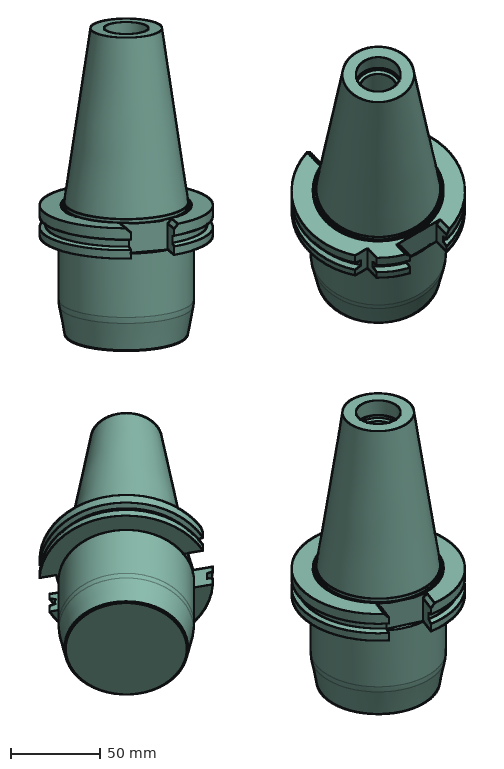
import cadquery as cq
import math

TOTAL_LENGTH = 178.6
TAPER_RATIO = 7 / 24
TAPER_LARGE_RADIUS = 34.92
TAPER_BASE_Z = 77.2
taper_small_radius = TAPER_LARGE_RADIUS - (TOTAL_LENGTH - TAPER_BASE_Z) * TAPER_RATIO / 2

NECK_RADIUS = 69.3 / 2
RELIEF_OUTER_RADIUS = 36.8
RELIEF_DEPTH = 0.9
RELIEF_CHAMFER = TAPER_LARGE_RADIUS - NECK_RADIUS

FLANGE_RADIUS = 97.3 / 2
FLANGE_BOTTOM_Z = 57.9
FLANGE_TOP_Z = 75.5
GROOVE_CENTER_Z = 65.9
GROOVE_DEPTH = 3.2
GROOVE_FLOOR_WIDTH = 4.0
GROOVE_MOUTH_WIDTH = 6.3
groove_floor_radius = FLANGE_RADIUS - GROOVE_DEPTH
groove_half_floor = GROOVE_FLOOR_WIDTH / 2
groove_half_mouth = GROOVE_MOUTH_WIDTH / 2

NOSE_RADIUS = 76.0 / 2
NOSE_BLEND_TOP_Z = 20.7
NOSE_BLEND_HEIGHT = 3.5
NOSE_TAPER_ANGLE = math.radians(10.5)
END_CHAMFER = 0.7

SLOT_WIDTH = 25.5
SLOT_CHAMFER = 2.5
LEFT_SLOT_WALL_X = -37.5
RIGHT_SLOT_WALL_X = 35.2
NOTCH_OFFSET = 29.8

BORE_RADIUS = 25.0 / 2
BORE_DEPTH = 11.8
UNDERCUT_RADIUS = 25.5 / 2
UNDERCUT_HEIGHT = 2.0
DRILL_RADIUS = 21.0 / 2
BORE_SEAT_HEIGHT = 0.7
DRILL_DEPTH = 44.6
DRILL_POINT_HALF_ANGLE = math.radians(59)


def revolve_about_z(profile):
    return profile.close().revolve(360, (0, 0, 0), (0, 1, 0))


def holder_body():
    """Revolve the outside outline, from the nose end up to the small end of the taper."""
    blend_radius = NOSE_BLEND_HEIGHT / math.sin(NOSE_TAPER_ANGLE)
    blend_end_z = NOSE_BLEND_TOP_Z - NOSE_BLEND_HEIGHT
    blend_end_radius = NOSE_RADIUS - blend_radius * (1 - math.cos(NOSE_TAPER_ANGLE))
    blend_mid = (
        NOSE_RADIUS - blend_radius * (1 - math.cos(NOSE_TAPER_ANGLE / 2)),
        NOSE_BLEND_TOP_Z - blend_radius * math.sin(NOSE_TAPER_ANGLE / 2),
    )
    end_radius = blend_end_radius - (blend_end_z - END_CHAMFER) * math.tan(NOSE_TAPER_ANGLE)
    profile = (
        cq.Workplane("XZ")
        .lineTo(end_radius - END_CHAMFER, 0)
        .lineTo(end_radius, END_CHAMFER)
        .lineTo(blend_end_radius, blend_end_z)
        .threePointArc(blend_mid, (NOSE_RADIUS, NOSE_BLEND_TOP_Z))
        .lineTo(NOSE_RADIUS, FLANGE_BOTTOM_Z)
        .lineTo(FLANGE_RADIUS, FLANGE_BOTTOM_Z)
        .lineTo(FLANGE_RADIUS, GROOVE_CENTER_Z - groove_half_mouth)
        .lineTo(groove_floor_radius, GROOVE_CENTER_Z - groove_half_floor)
        .lineTo(groove_floor_radius, GROOVE_CENTER_Z + groove_half_floor)
        .lineTo(FLANGE_RADIUS, GROOVE_CENTER_Z + groove_half_mouth)
        .lineTo(FLANGE_RADIUS, FLANGE_TOP_Z)
        .lineTo(RELIEF_OUTER_RADIUS, FLANGE_TOP_Z)
        .lineTo(RELIEF_OUTER_RADIUS - RELIEF_DEPTH, FLANGE_TOP_Z - RELIEF_DEPTH)
        .lineTo(NECK_RADIUS, FLANGE_TOP_Z - RELIEF_DEPTH)
        .lineTo(NECK_RADIUS, TAPER_BASE_Z - RELIEF_CHAMFER)
        .lineTo(TAPER_LARGE_RADIUS, TAPER_BASE_Z)
        .lineTo(taper_small_radius, TOTAL_LENGTH)
        .lineTo(0, TOTAL_LENGTH)
    )
    return revolve_about_z(profile)


def drive_slot(wall_x, side):
    """Cutter for one drive slot, open outward on the given side (-1 or +1), chamfered at the top."""
    half_width = SLOT_WIDTH / 2
    top_half_width = half_width + SLOT_CHAMFER
    return (
        cq.Workplane("YZ", origin=(wall_x, 0, 0))
        .moveTo(-half_width, FLANGE_BOTTOM_Z)
        .lineTo(half_width, FLANGE_BOTTOM_Z)
        .lineTo(half_width, FLANGE_TOP_Z - SLOT_CHAMFER)
        .lineTo(top_half_width, FLANGE_TOP_Z)
        .lineTo(-top_half_width, FLANGE_TOP_Z)
        .lineTo(-half_width, FLANGE_TOP_Z - SLOT_CHAMFER)
        .close()
        .extrude(side * FLANGE_RADIUS)
    )


def orientation_notch():
    """Cutter for the square notch in the -X, +Y quarter of the flange."""
    return (
        cq.Workplane("XY", origin=(-NOTCH_OFFSET, NOTCH_OFFSET, FLANGE_BOTTOM_Z))
        .rect(-FLANGE_RADIUS, FLANGE_RADIUS, centered=False)
        .extrude(FLANGE_TOP_Z - FLANGE_BOTTOM_Z)
    )


def pull_stud_bore():
    """Cutter for the stepped blind bore, undercut above its seat and ending in a drill point."""
    seat_z = TOTAL_LENGTH - BORE_DEPTH
    drill_end_z = TOTAL_LENGTH - DRILL_DEPTH
    point_height = DRILL_RADIUS / math.tan(DRILL_POINT_HALF_ANGLE)
    profile = (
        cq.Workplane("XZ")
        .moveTo(0, TOTAL_LENGTH)
        .lineTo(BORE_RADIUS, TOTAL_LENGTH)
        .lineTo(BORE_RADIUS, seat_z + UNDERCUT_HEIGHT)
        .lineTo(UNDERCUT_RADIUS, seat_z + UNDERCUT_HEIGHT)
        .lineTo(UNDERCUT_RADIUS, seat_z)
        .lineTo(DRILL_RADIUS, seat_z - BORE_SEAT_HEIGHT)
        .lineTo(DRILL_RADIUS, drill_end_z)
        .lineTo(0, drill_end_z - point_height)
    )
    return revolve_about_z(profile)


result = (
    holder_body()
    .cut(drive_slot(LEFT_SLOT_WALL_X, -1))
    .cut(drive_slot(RIGHT_SLOT_WALL_X, 1))
    .cut(orientation_notch())
    .cut(pull_stud_bore())
)